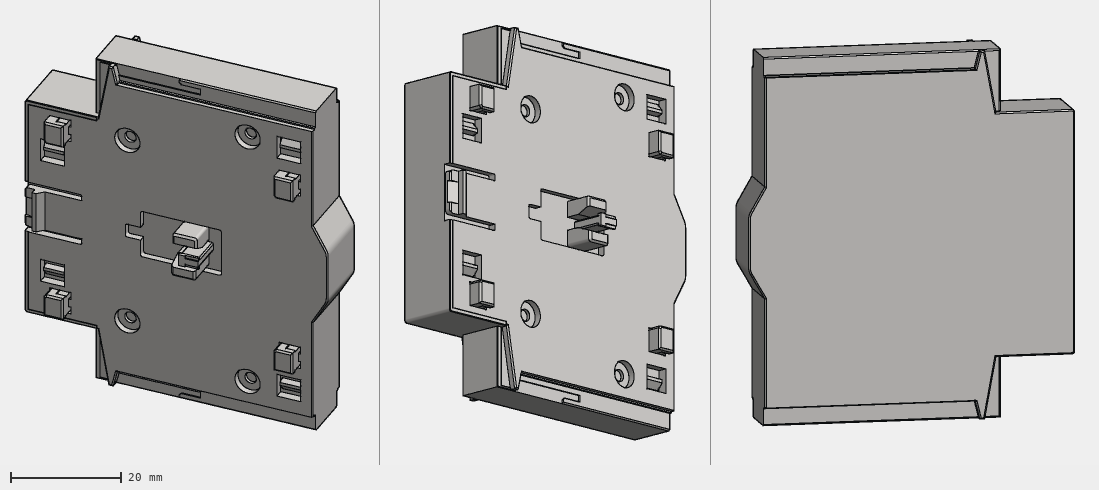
import cadquery as cq


HEIGHT = 68.0
HALF_HEIGHT = HEIGHT / 2
BODY_DEPTH = 12.05
TOTAL_LENGTH = 60.5
SHOULDER_X = 13.5
BLOCK_END_X = 57.5
HEAD_HALF = 22.6
HEAD_CORNER_RADIUS = 0.55
NOSE_BASE_HALF = 10.35
NOSE_TIP_HALF = 5.2
NOSE_CORNER_RADIUS = 2.7
EDGE_BREAK = 0.3

STEP_DEPTH = 1.35
RIM_WIDTH = 0.9
HEAD_RIM_WIDTH = 0.75
WEDGE_TOP_RIM = 0.4
RIM_DROP = 0.15
HORN_TIP_START_X = 16.7
HORN_TIP_END_X = 17.6
HORN_ROOT_START_X = 14.6
HORN_ROOT_END_X = 18.4
RAIL_Z = 30.75
PLATE_LIP = 0.3
PLATE_LIP_DEPTH = 0.9
RAIL_PAD_Z = 31.7
RAIL_PAD_TOP_Z = 32.9
RAIL_PAD_NECK_X = 30.25
RAIL_PAD_END_X = 34.5
RAIL_PAD_CORNER = 0.4
RAIL_PAD_RECESS = 0.3

SCREW_POINTS = [(20.55, 19.25), (44.55, 26.05)]
SCREW_HEAD_DIAMETER = 5.0
SCREW_HEAD_DEPTH = 1.35
SCREW_DIAMETER = 2.25
SCREW_DEPTH = 2.05

PEG_STARTS_X = [5.0, 50.85]
PEG_LENGTH = 3.8
PEG_POCKET_LENGTH = 4.2
PEG_POCKET_DEPTH = 1.35
PEG_INNER_Z = 16.1
PEG_OUTER_Z = 20.6
PEG_HEIGHT = 2.7
PEG_TIP_CHAMFER = 0.35
PEG_SIDE_CHAMFER = 0.5
PEG_NOTCH_START = 1.9
PEG_NOTCH_HEIGHT = 1.35
PEG_NOTCH_WIDTH = 0.3
PEG_RIB_HALF = 0.8

CATCH_LENGTH = 4.75
CATCH_HEIGHT = 4.6
CATCH_CORNERS = [(3.2, 10.55), (50.4, 23.05)]
CATCH_DEPTH = 1.7
CATCH_BAR_INSET = 0.35
CATCH_BAR_HEIGHT = 1.1
CATCH_BAR_PROFILE_Z = [1.55, 2.0, 2.6, 3.9]

TONGUE_HALF = 4.1
CHANNEL_HALF = 5.3
CHANNEL_LENGTH = 11.4
CHANNEL_DEPTH = 1.55
CHANNEL_RADIUS = 0.3
TONGUE_THICKNESS = 1.3
TONGUE_CORNER_RADIUS = 0.8
HOOK_START_X = 2.05
HOOK_FLAT_END_X = 2.85
HOOK_END_X = 4.1
HOOK_HEIGHT = 1.2
RAMP_HALF = 2.05
RAMP_DEPTH = 0.7

WINDOW_START_X = 23.2
WINDOW_END_X = 39.3
WINDOW_HALF = 4.8
WINDOW_TAB_X = 20.1
WINDOW_TAB_HALF = 1.35
WINDOW_DEPTH = 1.35
WINDOW_RADIUS = 0.4
JAW_START_X = 31.3
JAW_END_X = 36.2
JAW_OUTER_Z = 4.35
JAW_INNER_Z = 1.2
JAW_TIP_Z = 2.4
JAW_SLOPE_START = 1.5
JAW_CHAMFER = 0.4
JAW_CORNER_RADIUS = 0.55
UPPER_JAW_HEIGHT = 4.1
LOWER_JAW_HEIGHT = 4.55
PIN_START_X = 33.2
PIN_END_X = 37.1
PIN_HEIGHT = 5.45
PIN_STEM_HALF = 0.9
PIN_HEAD_HALF = 1.15
PIN_HEAD_THICKNESS = 0.75
PIN_STEM_CHAMFER = 0.3
PIN_LEDGE_START_X = 34.5
PIN_LEDGE_HALF = 0.6
PIN_LEDGE_DROP = 0.3


def prism(outline, front, back):
    """Extrude an X-Z outline from Y = front to Y = back."""
    return cq.Workplane("XZ", origin=(0, front, 0)).polyline(outline).close().extrude(front - back)


def block(x_range, y_range, z_range):
    """Axis-aligned box between two limits on each axis."""
    (x0, x1), (y0, y1), (z0, z1) = x_range, y_range, z_range
    return cq.Workplane("XY").box(x1 - x0, y1 - y0, z1 - z0, centered=False).translate((x0, y0, z0))


def both_halves(upper):
    """Return the shape together with its mirror image below Z = 0."""
    return upper.union(upper.mirror("XY"))


def nose_outline():
    """Upper right end of the outline, from the block edge to the nose tip."""
    return [(BLOCK_END_X, NOSE_BASE_HALF), (TOTAL_LENGTH, NOSE_TIP_HALF)]


def make_layer(upper, front, back):
    """Slab with a Z-symmetric outline and rounded head and nose corners."""
    lower = [(x, -z) for x, z in reversed(upper)]
    slab = prism(upper + lower, front, back)
    slab = slab.edges("|Y and <X").fillet(HEAD_CORNER_RADIUS)
    return slab.edges("|Y and >X").fillet(NOSE_CORNER_RADIUS)


def make_core():
    """Middle layer with the full-height block; the block's exposed edges are broken."""
    upper = [
        (0, HEAD_HALF),
        (SHOULDER_X, HEAD_HALF),
        (SHOULDER_X, HALF_HEIGHT),
        (BLOCK_END_X, HALF_HEIGHT),
    ]
    core = make_layer(upper + nose_outline(), STEP_DEPTH, BODY_DEPTH - STEP_DEPTH)
    block_edges = core.faces("<Y or >Y").edges("<Z or >Z")
    shoulder_middle_z = (HEAD_HALF + HALF_HEIGHT) / 2
    for z in (-shoulder_middle_z, shoulder_middle_z):
        for y in (STEP_DEPTH, BODY_DEPTH - STEP_DEPTH):
            nearest = cq.selectors.NearestToPointSelector((SHOULDER_X, y, z))
            block_edges = block_edges.add(core.edges(nearest))
    return block_edges.chamfer(EDGE_BREAK)


def make_front_plate():
    """Cover plate with a horn up to the block's top and a long edge below it."""
    upper = [
        (0, HEAD_HALF),
        (HORN_ROOT_START_X, HEAD_HALF),
        (HORN_TIP_START_X, HALF_HEIGHT),
        (HORN_TIP_END_X, HALF_HEIGHT),
        (HORN_ROOT_END_X, RAIL_Z),
        (BLOCK_END_X, RAIL_Z),
    ]
    plate = make_layer(upper + nose_outline(), 0, STEP_DEPTH)
    plate = plate.faces("<Y").edges().chamfer(EDGE_BREAK)
    lip = block((HORN_ROOT_END_X, BLOCK_END_X), (0, PLATE_LIP_DEPTH), (RAIL_Z - PLATE_LIP, RAIL_Z))
    return plate.cut(both_halves(lip))


def make_front_rims():
    """Shallow drops that leave the housing wall below the front cover plate."""
    rim_end_x = SHOULDER_X + RIM_WIDTH
    head_side = block((0, HEAD_RIM_WIDTH), (0, RIM_DROP), (CHANNEL_HALF, HEAD_HALF))
    head_top = block((0, rim_end_x), (0, RIM_DROP), (HEAD_HALF - HEAD_RIM_WIDTH, HEAD_HALF))
    wedge_back = STEP_DEPTH + RIM_DROP
    wedge_side = block((SHOULDER_X, rim_end_x), (0, wedge_back), (HEAD_HALF, HALF_HEIGHT))
    wedge_top = block(
        (SHOULDER_X, HORN_TIP_START_X),
        (STEP_DEPTH, wedge_back),
        (HALF_HEIGHT - WEDGE_TOP_RIM, HALF_HEIGHT),
    )
    return head_side.union(head_top).union(wedge_side).union(wedge_top)


def make_rail_pad():
    """Shallow hooked recess beside the horn in the step along the long edge."""
    horn_slant = (HORN_ROOT_END_X - HORN_TIP_END_X) / (HALF_HEIGHT - RAIL_Z)
    outline = [
        (HORN_TIP_END_X, HALF_HEIGHT),
        (HORN_TIP_END_X + horn_slant * (HALF_HEIGHT - RAIL_PAD_Z), RAIL_PAD_Z),
        (RAIL_PAD_END_X, RAIL_PAD_Z),
        (RAIL_PAD_END_X, RAIL_PAD_TOP_Z),
        (RAIL_PAD_NECK_X + RAIL_PAD_CORNER, RAIL_PAD_TOP_Z),
        (RAIL_PAD_NECK_X, RAIL_PAD_TOP_Z + RAIL_PAD_CORNER),
        (RAIL_PAD_NECK_X, HALF_HEIGHT),
    ]
    return prism(outline, STEP_DEPTH, STEP_DEPTH + RAIL_PAD_RECESS)


def make_screw_holes():
    plane = cq.Workplane("XZ").pushPoints(SCREW_POINTS)
    heads = plane.circle(SCREW_HEAD_DIAMETER / 2).extrude(-SCREW_HEAD_DEPTH)
    shanks = plane.circle(SCREW_DIAMETER / 2).extrude(-SCREW_DEPTH)
    return heads.union(shanks)


def make_peg_pocket(start_x):
    end_x = start_x + PEG_POCKET_LENGTH
    return block((start_x, end_x), (0, PEG_POCKET_DEPTH), (PEG_INNER_Z, PEG_OUTER_Z))


def make_peg(start_x):
    end_x = start_x + PEG_LENGTH
    middle_z = (PEG_INNER_Z + PEG_OUTER_Z) / 2
    peg = block((start_x, end_x), (-PEG_HEIGHT, PEG_POCKET_DEPTH), (PEG_INNER_Z, PEG_OUTER_Z))
    peg = peg.edges("|Y and <X and <Z").chamfer(PEG_SIDE_CHAMFER)
    peg = peg.faces("<Y").edges().chamfer(PEG_TIP_CHAMFER)
    for edge_z in (PEG_INNER_Z, PEG_OUTER_Z):
        notch = block(
            (start_x + PEG_NOTCH_START, end_x),
            (-PEG_NOTCH_HEIGHT, PEG_POCKET_DEPTH),
            (edge_z - PEG_NOTCH_WIDTH, edge_z + PEG_NOTCH_WIDTH),
        )
        peg = peg.cut(notch)
    rib = block(
        (start_x, start_x + PEG_POCKET_LENGTH),
        (0, PEG_POCKET_DEPTH),
        (middle_z - PEG_RIB_HALF, middle_z + PEG_RIB_HALF),
    )
    return peg.union(rib)


def make_catch_window(start_x, start_z):
    return block(
        (start_x, start_x + CATCH_LENGTH), (0, CATCH_DEPTH), (start_z, start_z + CATCH_HEIGHT)
    )


def make_catch_bar(start_x, start_z):
    inner_foot, ridge_start, ridge_end, outer_foot = [start_z + z for z in CATCH_BAR_PROFILE_Z]
    ridge_y = CATCH_DEPTH - CATCH_BAR_HEIGHT
    profile = [
        (CATCH_DEPTH, inner_foot),
        (ridge_y, ridge_start),
        (ridge_y, ridge_end),
        (CATCH_DEPTH, outer_foot),
    ]
    bar = cq.Workplane("YZ", origin=(start_x + CATCH_BAR_INSET, 0, 0)).polyline(profile).close()
    return bar.extrude(CATCH_LENGTH - 2 * CATCH_BAR_INSET)


def make_tongue_gap():
    """Recess around and behind the snap tongue, which stays joined at its inner end."""
    recess = block((0, CHANNEL_LENGTH), (0, CHANNEL_DEPTH), (-CHANNEL_HALF, CHANNEL_HALF))
    recess = recess.edges("|Y and >X").fillet(CHANNEL_RADIUS)
    tongue = block((0, CHANNEL_LENGTH), (0, TONGUE_THICKNESS), (-TONGUE_HALF, TONGUE_HALF))
    tongue = tongue.edges("|Y and <X").fillet(TONGUE_CORNER_RADIUS)
    return recess.cut(tongue)


def make_tongue_ramp():
    side = cq.Workplane("XY", origin=(0, 0, -RAMP_HALF))
    profile = [(0, 0), (HOOK_START_X, 0), (0, RAMP_DEPTH)]
    return side.polyline(profile).close().extrude(2 * RAMP_HALF)


def make_tongue_hook():
    profile = [
        (HOOK_START_X, 0),
        (HOOK_START_X, -HOOK_HEIGHT),
        (HOOK_FLAT_END_X, -HOOK_HEIGHT),
        (HOOK_END_X, 0),
    ]
    side = cq.Workplane("XY", origin=(0, 0, -TONGUE_HALF))
    return side.polyline(profile).close().extrude(2 * TONGUE_HALF)


def make_slider_window():
    main = block((WINDOW_START_X, WINDOW_END_X), (0, WINDOW_DEPTH), (-WINDOW_HALF, WINDOW_HALF))
    tab = block((WINDOW_TAB_X, WINDOW_START_X), (0, WINDOW_DEPTH), (-WINDOW_TAB_HALF, WINDOW_TAB_HALF))
    main = main.edges("|Y").fillet(WINDOW_RADIUS)
    tab = tab.edges("|Y and <X").fillet(WINDOW_RADIUS)
    return main.union(tab)


def make_jaw(height):
    """Upper jaw: straight outer side, inner side sloping away from the pin."""
    profile = [
        (WINDOW_DEPTH, JAW_INNER_Z),
        (-JAW_SLOPE_START, JAW_INNER_Z),
        (-height, JAW_TIP_Z),
        (-height, JAW_OUTER_Z),
        (WINDOW_DEPTH, JAW_OUTER_Z),
    ]
    jaw = cq.Workplane("YZ", origin=(JAW_START_X, 0, 0)).polyline(profile).close()
    jaw = jaw.extrude(JAW_END_X - JAW_START_X)
    jaw = jaw.edges("|Y and >Z").fillet(JAW_CORNER_RADIUS)
    return jaw.faces("<Y").edges("not <Z").chamfer(JAW_CHAMFER)


def make_pin():
    """T-shaped pin whose head is stepped down on both sides over most of its length."""
    stem = block(
        (PIN_START_X, PIN_END_X), (-PIN_HEIGHT, WINDOW_DEPTH), (-PIN_STEM_HALF, PIN_STEM_HALF)
    )
    stem = stem.edges("|Y").chamfer(PIN_STEM_CHAMFER)
    head = block(
        (PIN_START_X, PIN_END_X),
        (-PIN_HEIGHT, PIN_HEAD_THICKNESS - PIN_HEIGHT),
        (-PIN_HEAD_HALF, PIN_HEAD_HALF),
    )
    ledge = block(
        (PIN_LEDGE_START_X, PIN_END_X),
        (-PIN_HEIGHT, PIN_LEDGE_DROP - PIN_HEIGHT),
        (PIN_LEDGE_HALF, PIN_HEAD_HALF),
    )
    return stem.union(head).cut(both_halves(ledge))


front_plate = make_front_plate()
back_plate = front_plate.mirror("XZ").translate((0, BODY_DEPTH, 0))
result = make_core().union(front_plate).union(back_plate)
result = result.cut(both_halves(make_front_rims())).cut(both_halves(make_rail_pad()))

result = result.cut(both_halves(make_screw_holes()))
for peg_x in PEG_STARTS_X:
    result = result.cut(both_halves(make_peg_pocket(peg_x)))
for catch_x, catch_z in CATCH_CORNERS:
    result = result.cut(both_halves(make_catch_window(catch_x, catch_z)))
result = result.cut(make_tongue_gap()).cut(make_tongue_ramp()).cut(make_slider_window())

for peg_x in PEG_STARTS_X:
    result = result.union(both_halves(make_peg(peg_x)))
for catch_x, catch_z in CATCH_CORNERS:
    result = result.union(both_halves(make_catch_bar(catch_x, catch_z)))
result = result.union(make_tongue_hook())
result = result.union(make_jaw(UPPER_JAW_HEIGHT))
result = result.union(make_jaw(LOWER_JAW_HEIGHT).mirror("XY"))
result = result.union(make_pin())